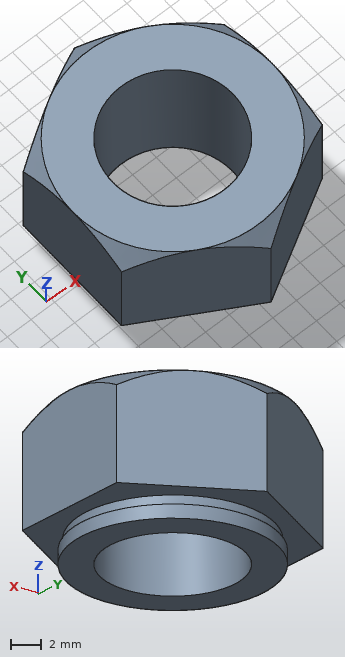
import cadquery as cq
import math

across_corners = 19.63
total_height = 10.0
flange_height = 1.0
flange_diameter = 14.85
neck_height = 0.77
neck_diameter = 14.25
bore_diameter = 10.19

across_flats = across_corners * math.cos(math.radians(30))
hex_bottom = flange_height + neck_height
hex_height = total_height - hex_bottom
corner_radius = across_corners / 2
chamfer = (across_corners - across_flats) / 2


def chamfered_hexagon():
    """Hexagon with corners on the Y axis and its top corners cut by a 45 degree cone."""
    hexagon = (
        cq.Workplane("XY")
        .workplane(offset=hex_bottom)
        .transformed(rotate=(0, 0, 90))
        .polygon(6, across_corners)
        .extrude(hex_height)
    )
    envelope = (
        cq.Workplane("XY")
        .workplane(offset=hex_bottom)
        .circle(corner_radius)
        .extrude(hex_height)
        .faces(">Z")
        .chamfer(chamfer)
    )
    return hexagon.intersect(envelope)


def collar():
    """Round neck below the hexagon, ending in a slightly wider flange."""
    flange = cq.Workplane("XY").circle(flange_diameter / 2).extrude(flange_height)
    neck = cq.Workplane("XY").circle(neck_diameter / 2).extrude(hex_bottom)
    return flange.union(neck)


bore = cq.Workplane("XY").circle(bore_diameter / 2).extrude(total_height)

result = chamfered_hexagon().union(collar()).cut(bore)